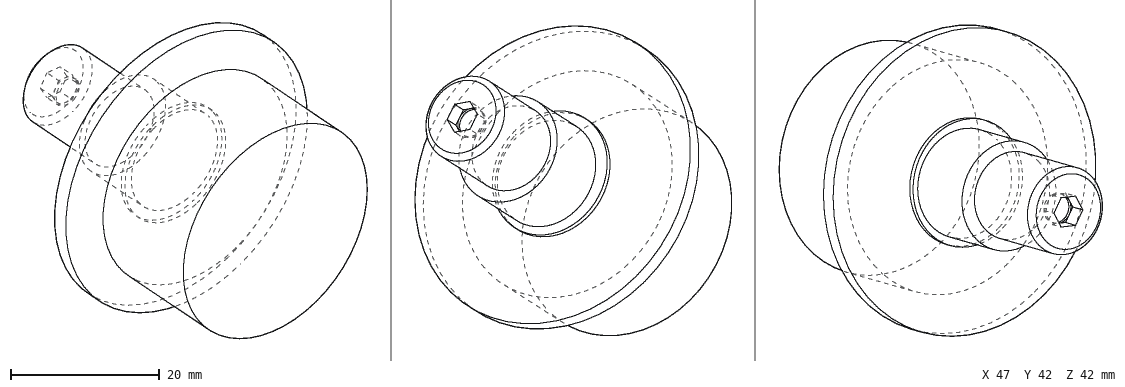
import cadquery as cq
import math


shank_diameter = 12.0
shank_length = 14.0
tip_chamfer = 0.85

collar_diameter = 15.0
collar_length = 11.0
collar_offset_y = 0.5

spacer_diameter = 17.5
spacer_length = 0.8

flange_diameter = 42.0
flange_length = 2.4
tread_diameter = 32.0
cone_length = 1.8
tread_length = 17.0

socket_across_flats = 4.0
socket_depth = 2.5
pilot_depth = 3.0
drill_point_angle = 120.0

tip_x = -(shank_length + collar_length + spacer_length)
collar_x = tip_x + shank_length
spacer_x = collar_x + collar_length


def cylinder(start_x, length, diameter, offset_y=0.0):
    """Cylinder along +X starting at start_x."""
    section = cq.Workplane("YZ", origin=(start_x, offset_y, 0)).circle(diameter / 2)
    return section.extrude(length)


def make_roller():
    """Flange, conical shoulder and tread, as one revolved profile."""
    cone_x = flange_length
    tread_x = cone_x + cone_length
    profile = (
        cq.Workplane("XY")
        .lineTo(0, flange_diameter / 2)
        .lineTo(cone_x, flange_diameter / 2)
        .lineTo(tread_x, tread_diameter / 2)
        .lineTo(tread_x + tread_length, tread_diameter / 2)
        .lineTo(tread_x + tread_length, 0)
        .close()
    )
    return profile.revolve(360, (0, 0, 0), (1, 0, 0))


def make_shank():
    """Shank with a chamfer around its free end."""
    shank = cylinder(tip_x, shank_length, shank_diameter)
    return shank.faces("<X").chamfer(tip_chamfer)


def make_socket():
    """Hexagonal socket with corners along Y, over a deeper pilot hole with a conical drill point."""
    across_corners = socket_across_flats / math.cos(math.radians(30))
    hexagon = (
        cq.Workplane("YZ", origin=(tip_x, 0, 0))
        .polygon(6, across_corners)
        .extrude(socket_depth)
    )
    pilot_radius = socket_across_flats / 2
    point_depth = pilot_radius / math.tan(math.radians(drill_point_angle / 2))
    pilot_hole = (
        cq.Workplane("XY", origin=(tip_x, 0, 0))
        .lineTo(0, pilot_radius)
        .lineTo(pilot_depth, pilot_radius)
        .lineTo(pilot_depth + point_depth, 0)
        .close()
        .revolve(360, (0, 0, 0), (1, 0, 0))
    )
    return hexagon.union(pilot_hole)


collar = cylinder(collar_x, collar_length, collar_diameter, collar_offset_y)
spacer = cylinder(spacer_x, spacer_length, spacer_diameter)

result = make_roller().union(spacer).union(collar).union(make_shank()).cut(make_socket())